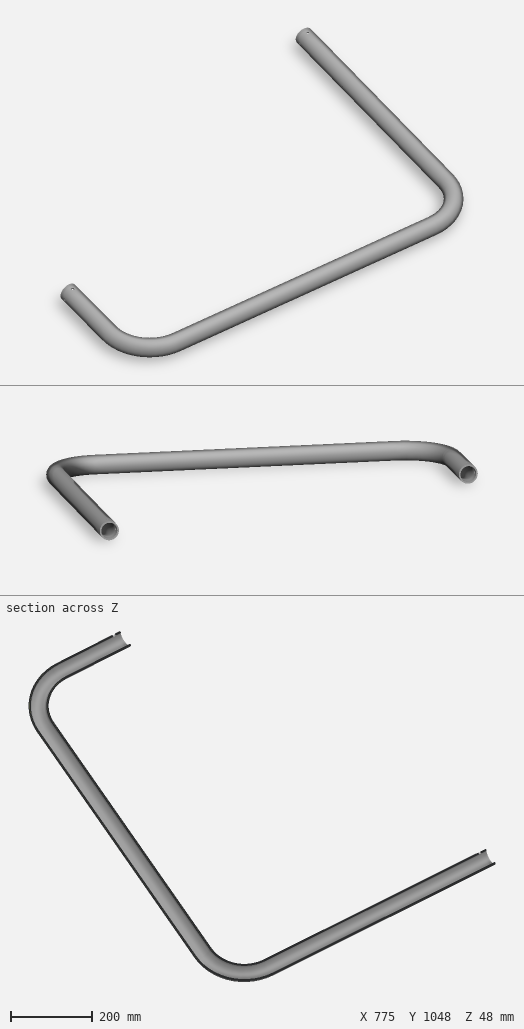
import cadquery as cq
import math

width = 775.0
length = 1048.0
tube_diameter = 48.0
wall = 4.0
bend_radius = 120.0

splay = math.radians(0.4)
short_leg_reach = 326.0
end_skew = math.radians(4)

long_hole_setback = 18.0
long_hole_diameter = 6.0
short_hole_setback = 21.0
short_hole_diameter = 8.0

tube_radius = tube_diameter / 2
spine_x = width - tube_radius
bend_start_x = spine_x - bend_radius

short_leg_y = tube_radius
short_end = (width - short_leg_reach, short_leg_y)
short_bend_end = (bend_start_x, short_leg_y)
spine_bottom = short_leg_y + bend_radius

long_end = (tube_radius * math.sin(splay), length - tube_radius * math.cos(splay))
long_bend_end_x = bend_start_x + bend_radius * math.sin(splay)
long_bend_end = (long_bend_end_x, long_end[1] - (long_bend_end_x - long_end[0]) * math.tan(splay))
spine_top = long_bend_end[1] - bend_radius * math.cos(splay)


def bend_middle(spine_end, side, full_turn):
    """Middle of a bend's centreline; side is +1 or -1 along Y."""
    half_turn = full_turn / 2
    x = spine_x - bend_radius * (1 - math.cos(half_turn))
    return (x, spine_end + side * bend_radius * math.sin(half_turn))


centreline = (
    cq.Workplane("XY")
    .moveTo(*long_end)
    .lineTo(*long_bend_end)
    .threePointArc(bend_middle(spine_top, 1, math.pi / 2 - splay), (spine_x, spine_top))
    .lineTo(spine_x, spine_bottom)
    .threePointArc(bend_middle(spine_bottom, -1, math.pi / 2), short_bend_end)
    .lineTo(*short_end)
)

long_end_plane = cq.Plane(
    origin=(*long_end, 0),
    xDir=(0, 0, 1),
    normal=(math.cos(splay), -math.sin(splay), 0),
)
tube = cq.Workplane(long_end_plane).circle(tube_radius).circle(tube_radius - wall).sweep(centreline)

skew_depth = tube_diameter * math.tan(end_skew)
skew_wedge = (
    cq.Workplane("XY")
    .moveTo(short_end[0], tube_diameter)
    .lineTo(short_end[0], 0)
    .lineTo(short_end[0] + skew_depth, 0)
    .close()
    .extrude(tube_diameter, both=True)
)


def pin_holes(end, setback, diameter, lean):
    """Holes from a leg's axis through its +Z wall and its -Y wall, close to the open end."""
    centre = cq.Vector(end[0] + setback * math.cos(lean), end[1] - setback * math.sin(lean), 0)
    upward = cq.Vector(0, 0, 1)
    sideways = cq.Vector(-math.sin(lean), -math.cos(lean), 0)
    top_hole = cq.Solid.makeCylinder(diameter / 2, tube_diameter, centre, upward)
    side_hole = cq.Solid.makeCylinder(diameter / 2, tube_diameter, centre, sideways)
    return cq.Workplane(top_hole).union(cq.Workplane(side_hole))


result = (
    tube.cut(skew_wedge)
    .cut(pin_holes(long_end, long_hole_setback, long_hole_diameter, splay))
    .cut(pin_holes(short_end, short_hole_setback, short_hole_diameter, 0))
)